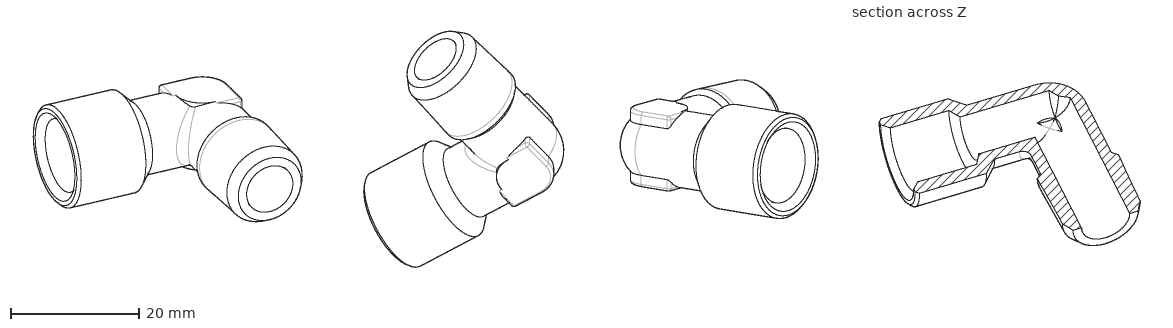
import cadquery as cq
import math

pipe_radius = 5.98

socket_diameter = 16.5
socket_radius = socket_diameter / 2
socket_end = 25.5
shoulder_start = 11.5
shoulder_end = shoulder_start + socket_radius - pipe_radius
rim_chamfer = 0.52

spigot_radius = 6.8
spigot_start = 11.27
spigot_end = 24.0
spigot_straight_start = spigot_start + spigot_radius - pipe_radius
taper_start = 13.05
taper_end = 22.15
taper_ratio = 1 / 16
tip_radius = 5.45
taper_end_radius = spigot_radius - (taper_end - taper_start) * taper_ratio / 2

thread_radius = 5.88
countersink_radius = 7.05
countersink_depth = countersink_radius - thread_radius
thread_floor = 14.55
bore_radius = 4.0
bore_overrun = 1.5
drill_slope = 1 / math.tan(math.radians(59))

pad_outer = 4.4
pad_reach = 5.52
pad_bottom = 4.0
pad_fillet = 0.5
pad_inner_radius = 4.55
crotch_fillet = 1.4


def turned(profile):
    """Revolve (radius, distance) points about the Y axis, with distance along -Y."""
    points = [(-distance, radius) for radius, distance in profile]
    return cq.Workplane("YZ").polyline(points).close().revolve(360, (0, 0), (1, 0))


def along_x(solid):
    """Turn a solid lying along -Y so that it lies along +X."""
    return solid.rotate((0, 0, 0), (0, 0, 1), 90)


def outer_body():
    socket = turned([
        (0, 0),
        (pipe_radius, 0),
        (pipe_radius, shoulder_start),
        (socket_radius, shoulder_end),
        (socket_radius, socket_end - rim_chamfer),
        (socket_radius - rim_chamfer, socket_end),
        (0, socket_end),
    ])
    spigot = turned([
        (0, 0),
        (pipe_radius, 0),
        (pipe_radius, spigot_start),
        (spigot_radius, spigot_straight_start),
        (spigot_radius, taper_start),
        (taper_end_radius, taper_end),
        (tip_radius, spigot_end),
        (0, spigot_end),
    ])
    elbow = cq.Workplane("XY").sphere(pipe_radius)
    return socket.union(along_x(spigot)).union(elbow)


def wrench_pad():
    """Upper pad: a filleted block whose quarter facing the crotch is cut to an arc."""
    width = pad_reach + pad_outer
    pad = (
        cq.Workplane("XY", origin=(-pad_outer, -pad_reach, pad_bottom))
        .rect(width, width, centered=False)
        .extrude(pipe_radius - pad_bottom)
    )
    pad = pad.edges("|Z and <X and >Y").fillet(pad_outer)
    pad = pad.edges("|Z and (>X or <Y)").edges(">Y or <X").fillet(pad_fillet)
    pad = pad.faces(">Z").edges().fillet(pad_fillet)
    inner_quarter = (
        cq.Workplane("XY")
        .rect(pad_reach, -pad_reach, centered=False)
        .extrude(pipe_radius)
    )
    rounded_quarter = (
        cq.Workplane("XY", origin=(0, 0, pad_bottom))
        .lineTo(pad_inner_radius, 0)
        .radiusArc((0, -pad_inner_radius), pad_inner_radius)
        .close()
        .extrude(pipe_radius - pad_bottom)
    )
    return pad.cut(inner_quarter).union(rounded_quarter)


def drilled_bore(end):
    """Blind bore drilled from an open end past the origin, with a conical tip."""
    return turned([
        (0, end),
        (bore_radius, end),
        (bore_radius, -bore_overrun),
        (0, -bore_overrun - bore_radius * drill_slope),
    ])


def thread_bore():
    cone_length = thread_radius * drill_slope
    return turned([
        (0, socket_end),
        (countersink_radius, socket_end),
        (thread_radius, socket_end - countersink_depth),
        (thread_radius, thread_floor),
        (0, thread_floor - cone_length),
    ])


body = outer_body()
upper_pad = wrench_pad()
body = body.union(upper_pad).union(upper_pad.mirror("XY"))

crotch_region = cq.selectors.BoxSelector(
    (pad_inner_radius, -pad_inner_radius, -pipe_radius),
    (pipe_radius, -pipe_radius, pipe_radius),
)
body = body.edges(crotch_region).fillet(crotch_fillet)

result = (
    body
    .cut(thread_bore())
    .cut(drilled_bore(socket_end))
    .cut(along_x(drilled_bore(spigot_end)))
)